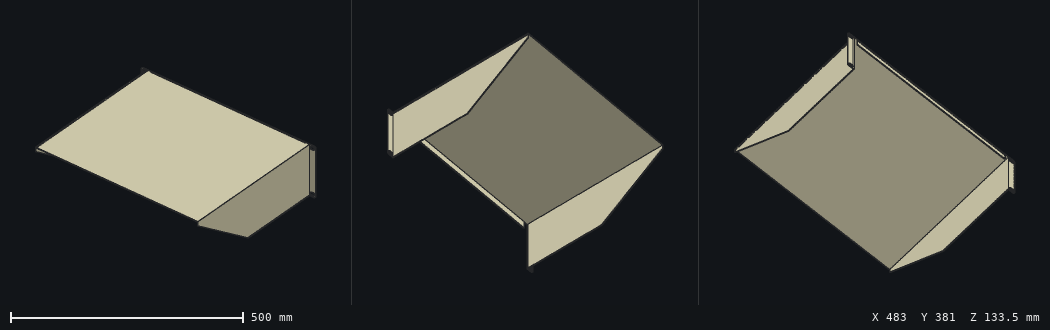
import cadquery as cq

overall_width = 483.0
depth = 381.0
height = 133.5
sheet = 2.0

body_width = 450.0
front_edge_height = 11.5
wall_bottom_length = 210.0

lip_width = 428.0
lip_drop = 20.5
lip_corner_radius = 3.0

ear_corner_radius = 5.0
slot_length = 12.5
slot_height = 7.2
slot_spacing_x = 465.0
slot_edge_distance = 7.2

ear_width = (overall_width - body_width) / 2 + sheet


def make_top_plate():
    return cq.Workplane("XY").box(body_width, depth, sheet, centered=(True, False, False)).translate(
        (0, 0, height - sheet)
    )


def make_side_wall(side):
    """Side wall with a sloped lower front corner; side is -1 (left) or +1 (right)."""
    inner_x = body_width / 2 - sheet
    start_x = inner_x if side > 0 else -body_width / 2
    return (
        cq.Workplane("YZ", origin=(start_x, 0, 0))
        .moveTo(depth, 0)
        .lineTo(depth, height)
        .lineTo(0, height)
        .lineTo(0, height - front_edge_height)
        .lineTo(depth - wall_bottom_length, 0)
        .close()
        .extrude(sheet)
    )


def make_ear(side):
    """Outward rear flange with rounded outer corners and a slot near each end."""
    center_x = side * (overall_width - ear_width) / 2
    ear = (
        cq.Workplane("XY")
        .box(ear_width, sheet, height, centered=(True, False, False))
        .translate((center_x, depth - sheet, 0))
        .edges("|Y")
        .edges(">X" if side > 0 else "<X")
        .fillet(ear_corner_radius)
    )
    slot_points = [
        (side * slot_spacing_x / 2, slot_edge_distance),
        (side * slot_spacing_x / 2, height - slot_edge_distance),
    ]
    slots = (
        cq.Workplane("XZ", origin=(0, depth, 0))
        .pushPoints(slot_points)
        .slot2D(slot_length, slot_height)
        .extrude(sheet)
    )
    return ear.cut(slots)


def make_rear_lip():
    return (
        cq.Workplane("XY")
        .box(lip_width, sheet, lip_drop, centered=(True, False, False))
        .translate((0, depth - sheet, height - lip_drop))
        .edges("|Y and <Z")
        .fillet(lip_corner_radius)
    )


result = make_top_plate().union(make_rear_lip())
for side in (-1, 1):
    result = result.union(make_side_wall(side)).union(make_ear(side))